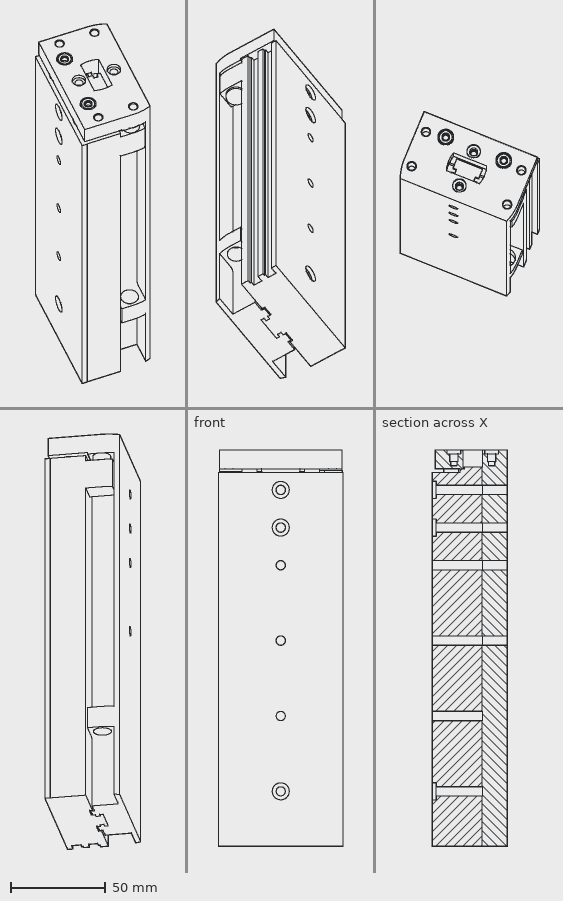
import cadquery as cq
import math

LENGTH = 210.0
DEPTH = 40.0
BASE_WIDTH = 66.0
SLIDE_WIDTH = 64.9

ROUND_START_Y = 29.8
FLANK_RADIUS = 26.0

HOUSING_TOP = 198.0
HOUSING_WIDTH = 65.7
FLANGE_THICKNESS = 3.0
HOUSING_REAR_Y = 22.0
STOP_BLOCK_INNER_X = 21.5
STOP_BLOCK_REAR_Y = 36.3
STOP_BLOCK_BOTTOM = 179.1
STOP_BLOCK_TOP = 195.0

SLOT_DEPTH = 4.2
SLOT_STEP_DEPTH = 1.9
SLOT_STEP = 0.8
SLOT_WIDTH = 5.0
SLOT_STARTS_Y = (FLANGE_THICKNESS, 12.0)
MIDDLE_RIB_INSET = 0.6

STOP_PIN_X = 28.0
STOP_PIN_DIAMETER = 9.5
STOP_PIN_TOP = 199.0
BUFFER_X = 26.5
BUFFER_DIAMETER = 11.0
BUFFER_BOTTOM = 177.9

RAIL_WIDTH = 14.7
RAIL_NECK_WIDTH = 11.0
RAIL_FRONT_Y = 17.0
RAIL_REAR_Y = 26.7
RAIL_NECK_FRONT_Y = 22.5
RAIL_NECK_REAR_Y = 24.8
RAIL_TOP = 201.0

PAD_WIDTH = 20.2
PAD_FRONT_Y = 14.7
PAD_TOP = 200.0
PAD_CORNER_RADIUS = 2.5

SLIDE_FRONT_Y = 22.9
BACK_PLATE_FRONT_Y = 37.0
END_PLATE_FRONT_Y = 1.7
END_PLATE_BOTTOM = 200.0
END_PLATE_REAR_BOTTOM = 198.5
WEB_WIDTH = 37.8
WEB_FILLET = 2.3
CARRIER_BOTTOM = 39.5
CARRIER_TOP = 51.2
CARRIER_HOLE_X = 26.2
CARRIER_HOLE_DIAMETER = 9.5

KEEL_WIDTH = 25.2
KEEL_FRONT_Y = 21.0
CHANNEL_FLOOR_Y = 20.4
CHANNEL_WIDTH = 26.5

WINDOW_WIDTH = 19.0
WINDOW_BULGE = 0.8
WINDOW_FRONT_Y = 16.4

PLATE_HOLES_Y = (11.5, 31.5)
CORNER_HOLE_X = 27.3
CORNER_HOLE_DIAMETER = 4.2
CORNER_CHAMFER_DIAMETER = 5.0
CENTRE_HOLE_DIAMETER = 4.2
CENTRE_CORE_DIAMETER = 3.2
CENTRE_BORE_DIAMETER = 7.1
CENTRE_BORE_DEPTH = 2.0
CENTRE_HOLE_DEPTH = 6.3
CENTRE_CORE_DEPTH = 8.5

ROD_X = 16.5
ROD_Y = 10.0
ROD_DIAMETER = 8.0
ROD_BORE_DIAMETER = 8.5
ROD_HEAD_DIAMETER = 7.0
ROD_GROOVE_DEPTH = 2.0
ROD_SOCKET_MOUTH_DIAMETER = 4.2
ROD_SOCKET_DIAMETER = 3.2
ROD_SOCKET_MOUTH_DEPTH = 0.8
ROD_SOCKET_DEPTH = 3.2
ROD_RECESS_DIAMETER = 16.0
ROD_RECESS_DEPTH = 1.0
ROD_END = HOUSING_TOP - ROD_RECESS_DEPTH

MOUNT_PITCH = 40.0
LOWEST_MOUNT_Z = 29.2
MOUNT_DIAMETER = 4.8
DOWEL_BORE_DIAMETER = 9.0
DOWEL_BORE_DEPTH = 2.0
DOWEL_STEPS = (0, 3.5, 4)
PLAIN_STEPS = (1, 2, 3)
SLIDE_STEPS = (2, 3, 3.5, 4)


def box(x0, x1, y0, y1, z0, z1):
    return cq.Workplane("XY").box(x1 - x0, y1 - y0, z1 - z0, centered=False).translate((x0, y0, z0))


def cylinder(x, y, z0, z1, diameter):
    return cq.Workplane("XY", origin=(x, y, z0)).circle(diameter / 2).extrude(z1 - z0)


def flank_x(half_width, y):
    """Half width of the rounded flank at a given Y."""
    rise = max(0.0, y - ROUND_START_Y)
    return half_width - FLANK_RADIUS + math.sqrt(FLANK_RADIUS ** 2 - rise ** 2)


def rounded_profile(width, front_y, rear_y, z0, z1):
    """Prism with straight sides that curve inwards towards the rear."""
    half = width / 2
    middle_y = (ROUND_START_Y + rear_y) / 2
    middle_x = flank_x(half, middle_y)
    rear_x = flank_x(half, rear_y)
    return (
        cq.Workplane("XY", origin=(0, 0, z0))
        .moveTo(-half, front_y)
        .lineTo(half, front_y)
        .lineTo(half, ROUND_START_Y)
        .threePointArc((middle_x, middle_y), (rear_x, rear_y))
        .lineTo(-rear_x, rear_y)
        .threePointArc((-middle_x, middle_y), (-half, ROUND_START_Y))
        .close()
        .extrude(z1 - z0)
    )


def rail():
    """H-section guide rail, necked on both sides."""
    bar = box(-RAIL_WIDTH / 2, RAIL_WIDTH / 2, RAIL_FRONT_Y, RAIL_REAR_Y, 0, RAIL_TOP)
    for x0, x1 in ((-RAIL_WIDTH / 2, -RAIL_NECK_WIDTH / 2), (RAIL_NECK_WIDTH / 2, RAIL_WIDTH / 2)):
        bar = bar.cut(box(x0, x1, RAIL_NECK_FRONT_Y, RAIL_NECK_REAR_Y, 0, RAIL_TOP))
    return bar


def raised_pad():
    """Pad on the housing top around the foot of the rail, with rounded front corners."""
    half = PAD_WIDTH / 2
    pad = box(-half, half, PAD_FRONT_Y, CHANNEL_FLOOR_Y, ROD_END, PAD_TOP)
    return pad.edges("|Z and <Y").fillet(PAD_CORNER_RADIUS)


def mount_hole(step, y0, y1, diameter):
    """Round cutter along Y at a number of pitches above the lowest hole."""
    z = LOWEST_MOUNT_Z + step * MOUNT_PITCH
    return cq.Workplane("XZ", origin=(0, y0, z)).circle(diameter / 2).extrude(y0 - y1)


def side_slots():
    """Two stepped sensor slots in the -X side and the relief of the rib between them."""
    side = -HOUSING_WIDTH / 2
    rib_start = SLOT_STARTS_Y[0] + SLOT_WIDTH
    cutter = box(side, side + MIDDLE_RIB_INSET, rib_start, SLOT_STARTS_Y[1], 0, HOUSING_TOP)
    for y in SLOT_STARTS_Y:
        cutter = cutter.union(box(side, side + SLOT_DEPTH, y, y + SLOT_WIDTH, 0, HOUSING_TOP))
        mouth_end = y + SLOT_WIDTH + SLOT_STEP
        cutter = cutter.union(box(side, side + SLOT_STEP_DEPTH, y, mouth_end, 0, HOUSING_TOP))
    return cutter


def make_housing():
    """Slotted body with flange, rail, stop blocks and mounting holes."""
    half = HOUSING_WIDTH / 2
    flange_half = BASE_WIDTH / 2
    body = box(-half, half, 0, HOUSING_REAR_Y, 0, HOUSING_TOP)
    body = body.union(box(-flange_half, flange_half, 0, FLANGE_THICKNESS, 0, HOUSING_TOP))
    channel = CHANNEL_WIDTH / 2
    body = body.cut(box(-channel, channel, CHANNEL_FLOOR_Y, HOUSING_REAR_Y, 0, HOUSING_TOP))
    body = body.cut(side_slots())

    blocks = rounded_profile(
        HOUSING_WIDTH, HOUSING_REAR_Y, STOP_BLOCK_REAR_Y, STOP_BLOCK_BOTTOM, STOP_BLOCK_TOP
    )
    blocks = blocks.cut(
        box(-STOP_BLOCK_INNER_X, STOP_BLOCK_INNER_X, 0, DEPTH, STOP_BLOCK_BOTTOM, STOP_BLOCK_TOP)
    )
    body = body.union(blocks).union(rail())
    body = body.union(
        cylinder(STOP_PIN_X, ROUND_START_Y, STOP_BLOCK_TOP, STOP_PIN_TOP, STOP_PIN_DIAMETER)
    )

    body = body.union(
        cylinder(-BUFFER_X, ROUND_START_Y, BUFFER_BOTTOM, STOP_BLOCK_BOTTOM, BUFFER_DIAMETER)
    )
    for x in (-ROD_X, ROD_X):
        body = body.cut(cylinder(x, ROD_Y, ROD_END, HOUSING_TOP, ROD_RECESS_DIAMETER))
    body = body.union(raised_pad())

    for step in DOWEL_STEPS + PLAIN_STEPS:
        body = body.cut(mount_hole(step, 0, DEPTH, MOUNT_DIAMETER))
    for step in DOWEL_STEPS:
        body = body.cut(mount_hole(step, 0, DOWEL_BORE_DEPTH, DOWEL_BORE_DIAMETER))
    return body


def side_pocket(z0, z1, rounded_edges):
    """Pocket cutter on the +X side, down to the web, with fillets at the chosen inner ends."""
    pocket = box(WEB_WIDTH / 2, SLIDE_WIDTH, 0, BACK_PLATE_FRONT_Y, z0, z1)
    return pocket.edges(rounded_edges).fillet(WEB_FILLET)


def window():
    """Opening through the end plate with bulging ends."""
    half = WINDOW_WIDTH / 2
    middle_y = (WINDOW_FRONT_Y + RAIL_REAR_Y) / 2
    return (
        cq.Workplane("XY", origin=(0, 0, END_PLATE_REAR_BOTTOM))
        .moveTo(-half, WINDOW_FRONT_Y)
        .lineTo(half, WINDOW_FRONT_Y)
        .threePointArc((half + WINDOW_BULGE, middle_y), (half, RAIL_REAR_Y))
        .lineTo(-half, RAIL_REAR_Y)
        .threePointArc((-half - WINDOW_BULGE, middle_y), (-half, WINDOW_FRONT_Y))
        .close()
        .extrude(LENGTH - END_PLATE_REAR_BOTTOM)
    )


def drill_end_plate(body):
    """Chamfered corner holes and stepped blind holes on the centre line."""
    for y in PLATE_HOLES_Y:
        for x in (-CORNER_HOLE_X, CORNER_HOLE_X):
            body = body.cut(cylinder(x, y, END_PLATE_REAR_BOTTOM, LENGTH, CORNER_HOLE_DIAMETER))
            depth = (CORNER_CHAMFER_DIAMETER - CORNER_HOLE_DIAMETER) / 2
            cone = cq.Solid.makeCone(
                CORNER_HOLE_DIAMETER / 2, CORNER_CHAMFER_DIAMETER / 2, depth, pnt=(x, y, LENGTH - depth)
            )
            body = body.cut(cq.Workplane(cone))
        body = body.cut(cylinder(0, y, LENGTH - CENTRE_BORE_DEPTH, LENGTH, CENTRE_BORE_DIAMETER))
        body = body.cut(cylinder(0, y, LENGTH - CENTRE_HOLE_DEPTH, LENGTH, CENTRE_HOLE_DIAMETER))
        body = body.cut(cylinder(0, y, LENGTH - CENTRE_CORE_DEPTH, LENGTH, CENTRE_CORE_DIAMETER))
    return body


def add_rods(body):
    """Piston rods between end plate and housing, each with a ring groove and socket at the top."""
    for x in (-ROD_X, ROD_X):
        body = body.union(cylinder(x, ROD_Y, ROD_END, END_PLATE_BOTTOM, ROD_DIAMETER))
        groove = cylinder(x, ROD_Y, LENGTH - ROD_GROOVE_DEPTH, LENGTH, ROD_BORE_DIAMETER)
        groove = groove.cut(cylinder(x, ROD_Y, LENGTH - ROD_GROOVE_DEPTH, LENGTH, ROD_HEAD_DIAMETER))
        body = body.cut(groove)
        body = body.cut(cylinder(x, ROD_Y, LENGTH - ROD_SOCKET_DEPTH, LENGTH, ROD_SOCKET_DIAMETER))
        mouth_floor = LENGTH - ROD_SOCKET_MOUTH_DEPTH
        body = body.cut(cylinder(x, ROD_Y, mouth_floor, LENGTH, ROD_SOCKET_MOUTH_DIAMETER))
    return body


def make_slide():
    """End plate, back plate, web and carrier blocks in one piece, with the two rods."""
    body = rounded_profile(SLIDE_WIDTH, SLIDE_FRONT_Y, DEPTH, 0, LENGTH)

    body = body.cut(side_pocket(CARRIER_TOP, END_PLATE_REAR_BOTTOM, "<X and |Y").mirror("YZ"))
    body = body.cut(side_pocket(CARRIER_TOP, STOP_PIN_TOP, "<X and |Y"))
    lower = side_pocket(0, CARRIER_BOTTOM, "<X and >Z")
    body = body.cut(lower).cut(lower.mirror("YZ"))

    keel = KEEL_WIDTH / 2
    body = body.union(box(-keel, keel, KEEL_FRONT_Y, SLIDE_FRONT_Y, 0, END_PLATE_REAR_BOTTOM))
    body = body.union(rounded_profile(SLIDE_WIDTH, END_PLATE_FRONT_Y, DEPTH, END_PLATE_BOTTOM, LENGTH))

    body = body.cut(rail()).cut(window())

    for x in (-CARRIER_HOLE_X, CARRIER_HOLE_X):
        body = body.cut(
            cylinder(x, ROUND_START_Y, CARRIER_BOTTOM, CARRIER_TOP, CARRIER_HOLE_DIAMETER)
        )
    for step in SLIDE_STEPS:
        body = body.cut(mount_hole(step, 0, DEPTH, MOUNT_DIAMETER))
    return add_rods(drill_end_plate(body))


housing = make_housing()
slide = make_slide()
result = cq.Compound.makeCompound([*housing.solids().vals(), *slide.solids().vals()])